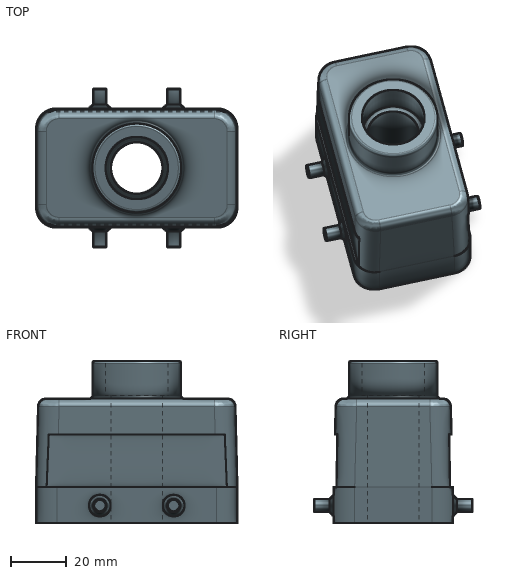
import cadquery as cq
import math

LENGTH = 72.6
WIDTH = 43.0
SKIRT_HEIGHT = 13.0
BODY_HEIGHT = 44.9
CORNER_RADIUS = 7.6
DRAFT_ANGLE = 1.4
TOP_FILLET = 3.0

RECESS_TOP = 32.0
RECESS_DEPTH = 1.0
RECESS_DRAFT = 0.9

TOTAL_HEIGHT = 58.5
COLLAR_DIAMETER = 32.0
COLLAR_RIM_FILLET = 1.0
COLLAR_ROOT_FILLET = 1.0
BORE_DIAMETER = 22.5
BORE_DEPTH = 12.5
THROUGH_DIAMETER = 18.5

PEG_SPAN = 57.2
PEG_SPACING = 26.6
PEG_HEIGHT = 6.35
PEG_DIAMETER = 4.8
PEG_CHAMFER = 0.3
PEG_ROOT_DIAMETER = 7.8
PEG_ROOT_LENGTH = 1.4
PEG_EMBED = 2.0


def make_body():
    """Straight skirt below a drafted cover, both with round corners; the cover's top edge is rounded."""
    skirt = (
        cq.Workplane("XY")
        .rect(LENGTH, WIDTH)
        .extrude(SKIRT_HEIGHT)
        .edges("|Z")
        .fillet(CORNER_RADIUS)
    )
    cover = (
        cq.Workplane("XY", origin=(0, 0, SKIRT_HEIGHT))
        .rect(LENGTH, WIDTH)
        .extrude(BODY_HEIGHT - SKIRT_HEIGHT, taper=DRAFT_ANGLE)
        .edges("not #Z")
        .fillet(CORNER_RADIUS)
        .faces(">Z")
        .edges()
        .fillet(TOP_FILLET)
    )
    return skirt.union(cover)


def make_recess(side):
    """Cutter for the recess on the long side at +Y (side = 1) or -Y (side = -1)."""
    floor_bottom = WIDTH / 2 - RECESS_DEPTH
    floor_top = floor_bottom - (RECESS_TOP - SKIRT_HEIGHT) * math.tan(math.radians(RECESS_DRAFT))
    profile = [
        (side * floor_bottom, SKIRT_HEIGHT),
        (side * WIDTH, SKIRT_HEIGHT),
        (side * WIDTH, RECESS_TOP),
        (side * floor_top, RECESS_TOP),
    ]
    return cq.Workplane("YZ").polyline(profile).close().extrude(LENGTH / 2, both=True)


def add_collar(body):
    """Round collar on top, blended into the body and rounded at its rim."""
    radius = COLLAR_DIAMETER / 2
    root_top = BODY_HEIGHT + COLLAR_ROOT_FILLET
    root_radius = radius + COLLAR_ROOT_FILLET
    blend = COLLAR_ROOT_FILLET * (1 - math.sqrt(0.5))
    rim = COLLAR_RIM_FILLET
    rim_arc = rim * (1 - math.sqrt(0.5))
    collar = (
        cq.Workplane("XZ")
        .moveTo(0, SKIRT_HEIGHT)
        .lineTo(root_radius, SKIRT_HEIGHT)
        .lineTo(root_radius, BODY_HEIGHT)
        .threePointArc((radius + blend, BODY_HEIGHT + blend), (radius, root_top))
        .lineTo(radius, TOTAL_HEIGHT - rim)
        .threePointArc((radius - rim_arc, TOTAL_HEIGHT - rim_arc), (radius - rim, TOTAL_HEIGHT))
        .lineTo(0, TOTAL_HEIGHT)
        .close()
        .revolve(360, (0, 0, 0), (0, 1, 0))
    )
    return body.union(collar)


def cut_cable_entry(body):
    """Stepped bore: a wide upper bore above a narrower through hole."""
    wide = cq.Workplane("XY", origin=(0, 0, TOTAL_HEIGHT)).circle(BORE_DIAMETER / 2).extrude(-BORE_DEPTH)
    through = cq.Workplane("XY").circle(THROUGH_DIAMETER / 2).extrude(TOTAL_HEIGHT)
    return body.cut(wide).cut(through)


def make_peg(x, side):
    """Chamfered peg with a conical root, pointing along +Y (side = 1) or -Y (side = -1)."""
    wall = WIDTH / 2
    tip = PEG_SPAN / 2
    radius = PEG_DIAMETER / 2
    root_radius = PEG_ROOT_DIAMETER / 2
    profile = [
        (0, side * (wall - PEG_EMBED)),
        (root_radius, side * (wall - PEG_EMBED)),
        (root_radius, side * wall),
        (radius, side * (wall + PEG_ROOT_LENGTH)),
        (radius, side * (tip - PEG_CHAMFER)),
        (radius - PEG_CHAMFER, side * tip),
        (0, side * tip),
    ]
    peg = cq.Workplane("XY").polyline(profile).close().revolve(360, (0, 0, 0), (0, 1, 0))
    return peg.translate((x, 0, PEG_HEIGHT))


hood = make_body()
for side in (-1, 1):
    hood = hood.cut(make_recess(side))
hood = cut_cable_entry(add_collar(hood))
for side in (-1, 1):
    for x in (-PEG_SPACING / 2, PEG_SPACING / 2):
        hood = hood.union(make_peg(x, side))

result = hood